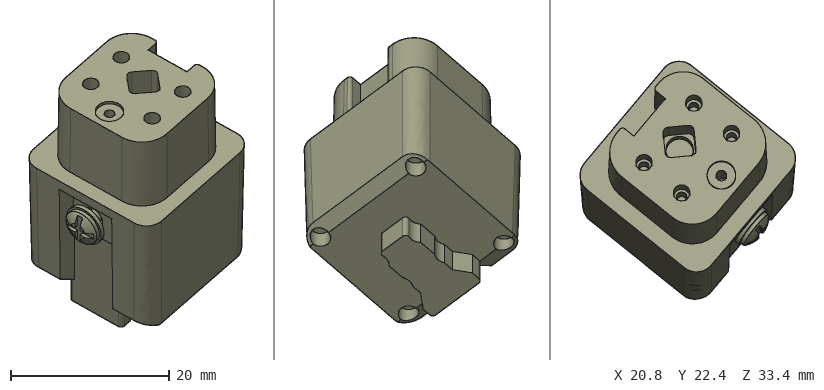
import cadquery as cq
import math

body_width = 20.8
overall_depth = 22.38
total_height = 33.4
core_base_z = 22.25
body_bottom_z = 3.85

overshoot = 0.17

body_half_width = body_width / 2
body_corner_radius = 2.47
body_draft = 0.25
bottom_bevel_depth = 2.0
bottom_bevel_height = 0.85
tool_hole_offset = 8.2
tool_hole_radius = 1.3
tool_hole_depth = 2.67

core_half_width = 8.28
core_corner_radius = 4.05
core_draft = 0.1
key_half_width = 3.15
key_floor_y = 6.25
key_edge_radius = 0.47

contact_spacing_x = 9.95
contact_spacing_y = 6.18
contact_recess_radius = 1.05
contact_recess_depth = 2.67
contact_bore_radius = 0.67
contact_bore_depth = 5.35
ground_y = -5.5
ground_recess_radius = 1.8
ground_recess_depth = 0.4
square_y = 1.35
square_side = 3.95
square_corner_radius = 0.75
square_depth = 5.0
square_bore_radius = 1.75
square_bore_depth = 6.68

recess_width = 8.52
recess_half_width = recess_width / 2
recess_top_z = 20.75
recess_floor_y = -8.52
pad_floor_y = -8.72
pad_half_width = 3.35
pad_bottom_z = 14.15
pad_top_z = 20.17

screw_z = 17.15
screw_tip_y = body_half_width - overall_depth
screw_hole_radius = 1.45
screw_hole_depth = 4.0
shank_radius = 0.95
washer_radius = 2.8
washer_back_y = -10.12
washer_face_y = -10.7
head_radius = 2.5
head_rim_y = -11.22
crown_radius = 1.97
crown_y = -11.62
head_flat_radius = 1.17
cross_width = 0.8
cross_depth = 0.5

tongue_center_x = 0.15
tongue_half_width = 4.25
tongue_back_y = 3.5
tongue_corner_radius = 0.55
step_front_y = -6.75
step_back_y = -4.68
step_angle = 36.0
groove_radius = 1.67
front_groove_y = -2.27
front_groove_depth = 0.27
back_groove_y = 2.47
back_groove_depth = 0.55


def rounded_square(half_width, corner_radius):
    return cq.Sketch().rect(2 * half_width, 2 * half_width).vertices().fillet(corner_radius)


def tapered_block(bottom_z, top_z, bottom_half_width, top_half_width, corner_radius):
    """Square block with drafted sides and a constant corner radius."""
    bottom = rounded_square(bottom_half_width, corner_radius)
    top = rounded_square(top_half_width, corner_radius).moved(cq.Location(cq.Vector(0, 0, top_z - bottom_z)))
    return cq.Workplane("XY", origin=(0, 0, bottom_z)).placeSketch(bottom, top).loft()


def cylinder_down(x, y, z, radius, depth):
    """Cylinder reaching down from height z."""
    return cq.Workplane("XY", origin=(x, y, z)).circle(radius).extrude(-depth)


def make_body():
    bottom_half_width = body_half_width - body_draft
    body = tapered_block(body_bottom_z, core_base_z, bottom_half_width, body_half_width, body_corner_radius)

    bevel_inner_y = bottom_half_width - bottom_bevel_depth
    slope = bottom_bevel_height / bottom_bevel_depth
    far_y = body_half_width + overshoot
    bevel = (
        cq.Workplane("YZ", origin=(-body_half_width, 0, 0))
        .moveTo(bevel_inner_y, body_bottom_z)
        .lineTo(far_y, body_bottom_z + slope * (far_y - bevel_inner_y))
        .lineTo(far_y, body_bottom_z)
        .close()
        .extrude(2 * body_half_width)
    )
    return body.cut(bevel).cut(bevel.mirror("XZ"))


def make_core():
    top_half_width = core_half_width - core_draft
    core = tapered_block(core_base_z, total_height, core_half_width, top_half_width, core_corner_radius)

    key_length = core_half_width + overshoot - key_floor_y
    keyway = (
        cq.Workplane("XY", origin=(0, key_floor_y + key_length / 2, core_base_z))
        .rect(2 * key_half_width, key_length)
        .extrude(total_height - core_base_z)
    )
    core = core.cut(keyway)
    for side in (-1, 1):
        rim = cq.selectors.BoxSelector(
            (side * key_half_width - overshoot, core_half_width - key_edge_radius, core_base_z),
            (side * key_half_width + overshoot, core_half_width + key_edge_radius, total_height),
        )
        core = core.edges(rim).fillet(key_edge_radius)
    return core


def stepped_hole(x, y, recess_radius, recess_depth):
    """Contact bore in the top face with a wider recess at its mouth."""
    recess = cylinder_down(x, y, total_height, recess_radius, recess_depth)
    return recess.union(cylinder_down(x, y, total_height, contact_bore_radius, contact_bore_depth))


def make_top_openings():
    openings = stepped_hole(0, ground_y, ground_recess_radius, ground_recess_depth)
    for x in (-contact_spacing_x / 2, contact_spacing_x / 2):
        for y in (-contact_spacing_y / 2, contact_spacing_y / 2):
            openings = openings.union(stepped_hole(x, y, contact_recess_radius, contact_recess_depth))

    square = (
        cq.Workplane("XY")
        .rect(square_side, square_side)
        .extrude(-square_depth)
        .edges("|Z")
        .fillet(square_corner_radius)
        .rotate((0, 0, 0), (0, 0, 1), 45)
        .translate((0, square_y, total_height))
    )
    square_bore = cylinder_down(0, square_y, total_height, square_bore_radius, square_bore_depth)
    return openings.union(square).union(square_bore)


def make_tool_holes():
    return (
        cq.Workplane("XY", origin=(0, 0, body_bottom_z))
        .rect(2 * tool_hole_offset, 2 * tool_hole_offset, forConstruction=True)
        .vertices()
        .circle(tool_hole_radius)
        .extrude(tool_hole_depth)
    )


def front_face_y(z):
    """Y of the drafted front face at height z."""
    return -body_half_width + body_draft * (core_base_z - z) / (core_base_z - body_bottom_z)


def make_channel(bottom_z, top_z, floor_y):
    """Channel with flared sides that follow the drafted front face."""
    flare = (recess_half_width - pad_half_width) / (pad_floor_y - front_face_y(pad_bottom_z))

    def section(z):
        mouth_y = front_face_y(z) - overshoot
        mouth = recess_half_width + flare * overshoot
        floor = mouth - flare * (floor_y - mouth_y)
        corners = [(-mouth, mouth_y), (mouth, mouth_y), (floor, floor_y), (-floor, floor_y)]
        return cq.Wire.makePolygon([cq.Vector(x, y, z) for x, y in corners], close=True)

    return cq.Workplane(cq.Solid.makeLoft([section(bottom_z), section(top_z)], True))


def make_recess():
    lower = make_channel(0, pad_bottom_z, recess_floor_y)
    upper = make_channel(pad_bottom_z, core_base_z, pad_floor_y)

    mouth_y = front_face_y(recess_top_z)
    roof_slope = (recess_top_z - pad_top_z) / (pad_floor_y - mouth_y)
    outer_y = mouth_y - overshoot
    below_roof = (
        cq.Workplane("YZ", origin=(-body_half_width, 0, 0))
        .moveTo(pad_floor_y, pad_bottom_z)
        .lineTo(pad_floor_y, pad_top_z)
        .lineTo(outer_y, pad_top_z + roof_slope * (pad_floor_y - outer_y))
        .lineTo(outer_y, pad_bottom_z)
        .close()
        .extrude(2 * body_half_width)
    )
    return lower.union(upper.intersect(below_roof))


def make_screw_hole():
    hole = cq.Workplane("XZ", origin=(0, pad_floor_y, screw_z)).circle(screw_hole_radius)
    return hole.extrude(-screw_hole_depth)


def make_screw():
    shank_end_y = pad_floor_y + screw_hole_depth
    screw = (
        cq.Workplane("XY")
        .moveTo(0, shank_end_y)
        .lineTo(shank_radius, shank_end_y)
        .lineTo(shank_radius, washer_back_y)
        .lineTo(washer_radius, washer_back_y)
        .lineTo(washer_radius, washer_face_y)
        .lineTo(head_radius, washer_face_y)
        .lineTo(head_radius, head_rim_y)
        .threePointArc((crown_radius, crown_y), (head_flat_radius, screw_tip_y))
        .lineTo(0, screw_tip_y)
        .close()
        .revolve(360, (0, 0, 0), (0, 1, 0))
    )
    cross = cq.Workplane("XZ", origin=(0, screw_tip_y + cross_depth, 0)).rect(2 * head_radius, cross_width)
    cross = cross.extrude(cross_depth)
    screw = screw.cut(cross).cut(cross.rotate((0, 0, 0), (0, 1, 0), 90))
    return screw.translate((0, 0, screw_z))


def make_tongue():
    height = body_bottom_z + bottom_bevel_height
    step = (step_back_y - step_front_y) * math.tan(math.radians(step_angle))
    neck_half_width = tongue_half_width - step
    tongue = (
        cq.Workplane("XY")
        .moveTo(-tongue_half_width, recess_floor_y)
        .lineTo(tongue_half_width, recess_floor_y)
        .lineTo(tongue_half_width, step_front_y)
        .lineTo(neck_half_width, step_back_y)
        .lineTo(neck_half_width, tongue_back_y)
        .lineTo(-neck_half_width, tongue_back_y)
        .lineTo(-neck_half_width, step_back_y)
        .lineTo(-tongue_half_width, step_front_y)
        .close()
        .extrude(height)
    )
    for y, depth in ((front_groove_y, front_groove_depth), (back_groove_y, back_groove_depth)):
        groove_x = neck_half_width - depth + groove_radius
        grooves = cq.Workplane("XY").pushPoints([(-groove_x, y), (groove_x, y)]).circle(groove_radius)
        tongue = tongue.cut(grooves.extrude(height))
    tongue = tongue.edges("|Z and (<Y or >Y)").fillet(tongue_corner_radius)
    return tongue.translate((tongue_center_x, 0, 0))


housing = make_body().union(make_core())
housing = housing.cut(make_top_openings()).cut(make_tool_holes()).cut(make_recess())
housing = housing.union(make_tongue()).cut(make_screw_hole())
result = housing.union(make_screw())